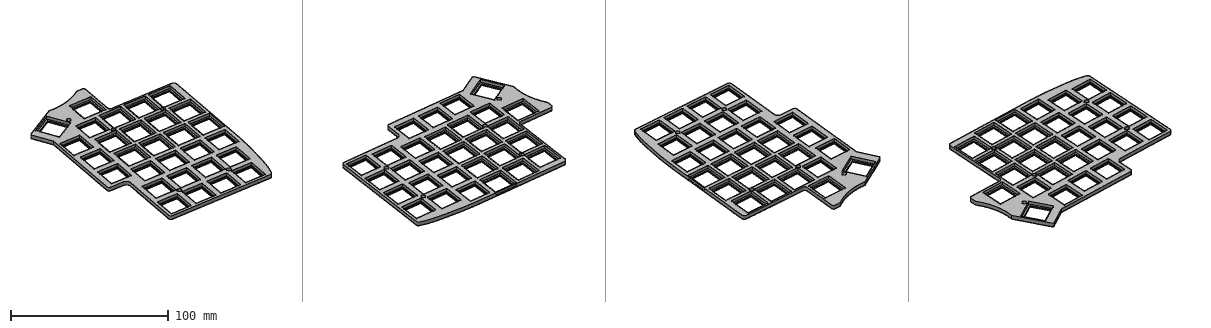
import cadquery as cq
import math


thickness = 3.5
plate_width = 143.2
plate_depth = 106.8
right_end_y = 101.5
top_curve_start_x = 98.8
top_curve_points = [(123.9, 105.3), (136.0, 103.5)]
top_curve_end_slope = -0.35
finger_left_x = 27.8
shoulder_y = 56.1
shoulder_low_y = 50.4
flank_foot = (7.0, 23.9)
flank_middle = (4.9, 40.8)
bottom_y = 7.7
thumb_bend_x = 35.1
step_x = 96.0
step_y = 22.5
bottom_chamfer = 0.6

corner_radius = 1.7
top_left_radius = 2.1
step_radius = 3.2
tip_radius = 1.0

pitch = 19.2
opening_size = 14.0
wide_pocket = 16.6
narrow_pocket = 15.3
ledge_height = 1.1
row_count = 4
first_column_x = 37.5
column_base_y = [36.4, 38.8, 40.2, 38.8, 34.1, 32.5]
wide_column_count = 3
thumb_angle = 30.0
thumb_key = (22.2, 16.5)
inner_thumb_y = 17.3
outer_thumb_y = 19.8

hole_top_diameter = 3.0
hole_bottom_diameter = 2.5
left_hole_x = 46.8
right_hole_x = 123.6
left_hole_y = 46.1
right_hole_y = 43.4
hole_spacing = 2 * pitch
thumb_hole = (22.2, 28.6)


def thumb_tip():
    """Corner where the angled thumb side meets the slope from the bottom edge at a right angle."""
    angle = math.radians(thumb_angle)
    run = thumb_bend_x - flank_foot[0]
    rise = bottom_y - flank_foot[1]
    along = run * math.sin(angle) - rise * math.cos(angle)
    return (flank_foot[0] + along * math.sin(angle), flank_foot[1] - along * math.cos(angle))


def plate_body():
    """Solid plate with rounded corners and a chamfer around its lower edge."""
    body = (
        cq.Workplane("XY")
        .moveTo(finger_left_x, plate_depth)
        .lineTo(top_curve_start_x, plate_depth)
        .spline(
            top_curve_points + [(plate_width, right_end_y)],
            tangents=[(1, 0), (1, top_curve_end_slope)],
            includeCurrent=True,
        )
        .lineTo(plate_width, step_y)
        .lineTo(step_x, step_y)
        .lineTo(step_x, bottom_y)
        .lineTo(thumb_bend_x, bottom_y)
        .lineTo(*thumb_tip())
        .lineTo(*flank_foot)
        .threePointArc(flank_middle, (0, shoulder_low_y))
        .lineTo(0, shoulder_y)
        .lineTo(finger_left_x, shoulder_y)
        .close()
        .extrude(thickness)
    )
    rounded_corners = [
        ((finger_left_x, plate_depth), top_left_radius),
        ((plate_width, right_end_y), corner_radius),
        ((plate_width, step_y), corner_radius),
        ((step_x, step_y), step_radius),
        ((step_x, bottom_y), corner_radius),
        (thumb_tip(), tip_radius),
        ((0, shoulder_low_y), corner_radius),
        ((0, shoulder_y), corner_radius),
        ((finger_left_x, shoulder_y), corner_radius),
    ]
    for (x, y), radius in rounded_corners:
        corner = cq.selectors.NearestToPointSelector((x, y, thickness / 2))
        body = body.edges("|Z").edges(corner).fillet(radius)
    return body.faces("<Z").edges().chamfer(bottom_chamfer)


def key_cutter(x, y, pocket_size, angle=0.0):
    """Through opening with a wider pocket above the ledge that holds the switch."""
    opening = cq.Workplane("XY").rect(opening_size, opening_size).extrude(thickness)
    pocket = (
        cq.Workplane("XY", origin=(0, 0, ledge_height))
        .rect(pocket_size, pocket_size)
        .extrude(thickness - ledge_height)
    )
    return opening.union(pocket).rotate((0, 0, 0), (0, 0, 1), angle).translate((x, y, 0))


def key_cutters():
    """Cutters for the finger columns, the outer left key and the thumb keys."""
    cutters = []
    for column, base_y in enumerate(column_base_y):
        for row in range(row_count):
            wide = column < wide_column_count and (column, row) != (0, 0)
            pocket_size = wide_pocket if wide else narrow_pocket
            cutters.append(key_cutter(first_column_x + column * pitch, base_y + row * pitch, pocket_size))
    cutters.append(key_cutter(first_column_x - pitch, column_base_y[0] + pitch / 2, wide_pocket))
    for place, y in enumerate([inner_thumb_y, outer_thumb_y, outer_thumb_y]):
        cutters.append(key_cutter(first_column_x + (place + 0.5) * pitch, y, narrow_pocket))
    cutters.append(key_cutter(*thumb_key, wide_pocket, thumb_angle))
    return cutters


def hole_cutter(x, y):
    """Slightly tapered screw hole through the plate."""
    profile = [
        (0, 0),
        (hole_bottom_diameter / 2, 0),
        (hole_top_diameter / 2, thickness),
        (0, thickness),
    ]
    return cq.Workplane("XZ").polyline(profile).close().revolve(360, (0, 0), (0, 1)).translate((x, y, 0))


hole_places = [
    (left_hole_x, left_hole_y),
    (left_hole_x, left_hole_y + hole_spacing),
    (right_hole_x, right_hole_y),
    (right_hole_x, right_hole_y + hole_spacing),
    thumb_hole,
]

result = plate_body()
for cutter in key_cutters():
    result = result.cut(cutter)
for x, y in hole_places:
    result = result.cut(hole_cutter(x, y))